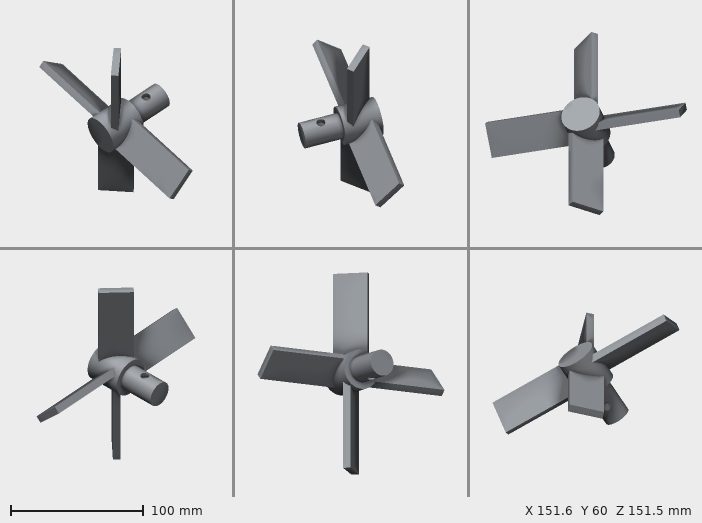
import cadquery as cq
import math

hub_diameter = 30.0
hub_length = 30.0
shank_diameter = 20.0
shank_length = 30.0

overall_width = 151.6
blade_width = 26.8
blade_thickness = 5.8
blade_offset = 0.3
blade_pitch = 45.0
blade_count = 4

screw_hole_diameter = 6.8
screw_hole_depth = 4.5
drill_point_angle = 118.0

pad_size = 0.6
pad_height = 0.08
blade_tip_radius = (overall_width - pad_height) / 2

hub_back = hub_length / 2
screw_hole_y = hub_back + shank_length / 2
shank_radius = shank_diameter / 2


def make_hub():
    """Round hub with its drive shank on the +Y side."""
    hub = cq.Workplane("XZ", origin=(0, -hub_length / 2, 0)).circle(hub_diameter / 2).extrude(-hub_length)
    shank = cq.Workplane("XZ", origin=(0, hub_back, 0)).circle(shank_radius).extrude(-shank_length)
    return hub.union(shank)


def make_blade(position_angle):
    """Flat pitched blade from the hub axis outward, turned about Y from the +X direction."""
    return (
        cq.Workplane("YZ", origin=(0, blade_offset, 0))
        .transformed(rotate=(0, 0, blade_pitch))
        .rect(blade_width, blade_thickness)
        .extrude(blade_tip_radius)
        .rotate((0, 0, 0), (0, 1, 0), position_angle)
    )


def make_screw_hole(position_angle):
    """Drilled hole with a conical end, turned about the shank axis from the top."""
    radius = screw_hole_diameter / 2
    straight_end = shank_radius - screw_hole_depth
    point_end = straight_end - radius / math.tan(math.radians(drill_point_angle / 2))
    return (
        cq.Workplane("XZ", origin=(0, screw_hole_y, 0))
        .moveTo(0, point_end)
        .lineTo(radius, straight_end)
        .lineTo(radius, shank_radius)
        .lineTo(0, shank_radius)
        .close()
        .revolve(360, (0, 0), (0, 1))
        .rotate((0, 0, 0), (0, 1, 0), position_angle)
    )


def make_rotor():
    """Hub, shank and blades in one piece, with a screw hole above and below the shank."""
    rotor = make_hub()
    for index in range(blade_count):
        rotor = rotor.union(make_blade(index * 360 / blade_count))
    for position_angle in (0, 180):
        rotor = rotor.cut(make_screw_hole(position_angle))
    return rotor


def make_pad():
    """Small separate pad seated on the tip of the +X blade, in its lowest corner."""
    return (
        cq.Workplane("YZ", origin=(blade_tip_radius, blade_offset, 0))
        .transformed(rotate=(0, 0, blade_pitch))
        .center((pad_size - blade_width) / 2, (pad_size - blade_thickness) / 2)
        .rect(pad_size, pad_size)
        .extrude(pad_height)
    )


rotor = make_rotor()
pad = make_pad()
result = cq.Compound.makeCompound([rotor.val(), pad.val()])